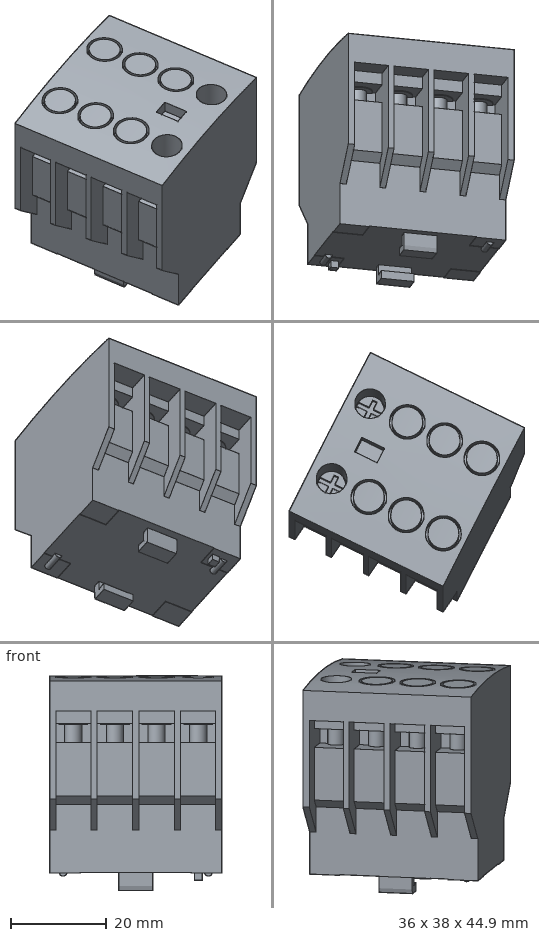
import cadquery as cq

WIDTH = 36.0
DEPTH = 38.0
HEIGHT = 44.9
TOP_EDGE_Z = 43.8
SHOULDER_Z = 19.13
BASE_Z = 3.65
BASE_HALF_DEPTH = 12.5
PAD_HEIGHT = 0.15
PAD_INNER_X = 11.6
PAD_INNER_Y = 7.2
BASE_TOP_Z = SHOULDER_Z - (DEPTH / 2 - BASE_HALF_DEPTH)

PITCH = 8.7
TERMINALS = 4
COLUMNS = [(i - (TERMINALS - 1) / 2) * PITCH for i in range(TERMINALS)]
CAP_COLUMNS = COLUMNS[:-1]
SCREW_COLUMN = COLUMNS[-1]
ROW_Y = 9.0
SIDES = (-1, 1)

RIB_THICKNESS = 1.25
SIDE_WALL = 1.4
POCKET_TOP_Z = 37.5
POCKET_FLOOR_Y = 14.25
FLOOR_BOTTOM_Z = 19.75
WINDOW_TOP_Z = 34.95
WINDOW_BOTTOM_Z = 30.95
WINDOW_BACK_Y = ROW_Y
SLOPE_BOTTOM_Z = FLOOR_BOTTOM_Z - (POCKET_FLOOR_Y - BASE_HALF_DEPTH)

SHAFT_RADIUS = 1.8
HEAD_RADIUS = 3.0
HEAD_BOTTOM_Z = 34.75
HEAD_TOP_Z = 38.25
SCREW_HOLE_RADIUS = 3.2
SLOT_WIDTH = 1.0
SLOT_DEPTH = 0.9
HEAD_GAP_DEPTH = 1.35
SHORT_SLOT_LENGTH = 4.4

GROOVE_OUTER_RADIUS = 3.73
GROOVE_INNER_RADIUS = 3.25
GROOVE_DEPTH = 1.35

RECESS_X = PITCH
RECESS_LENGTH = 5.3
RECESS_WIDTH = 3.45
RECESS_DEPTH = 2.55

HOOK_WIDTH = 7.15
HOOK_OUTER_Y = 10.78
HOOK_INNER_Y = 9.0
HOOK_TIP_Y = 6.95
HOOK_TOE_Y = 10.5
HOOK_TAPER_Z = 0.9
HOOK_ROOT_Z = 1.53
HOOK_TIP_Z = 1.75

FOOT_X = 15.18
FOOT_RADIUS = 0.8
FOOT_SINK = 0.2
FOOT_INNER_Y = 6.05
FOOT_OUTER_Y = 10.5
POST_LEFT_X = 12.25
POST_RIGHT_X = 13.9
POST_BOTTOM_Z = 2.15


def box(x0, x1, y0, y1, z0, z1):
    """Box between two opposite corners."""
    size = (x1 - x0, y1 - y0, z1 - z0)
    return cq.Workplane("XY").box(*size, centered=False).translate((x0, y0, z0))


def cylinder(x, y, radius, z0, z1):
    """Upright cylinder between two heights."""
    return cq.Workplane("XY", origin=(x, y, z0)).circle(radius).extrude(z1 - z0)


def extrude_along_x(profile, x, width):
    """Extrude a closed YZ profile to a width centred on x."""
    return profile.extrude(width / 2, both=True).translate((x, 0, 0))


def housing():
    half = DEPTH / 2
    profile = (
        cq.Workplane("YZ")
        .moveTo(-BASE_HALF_DEPTH, BASE_Z)
        .lineTo(BASE_HALF_DEPTH, BASE_Z)
        .lineTo(BASE_HALF_DEPTH, BASE_TOP_Z)
        .lineTo(half, SHOULDER_Z)
        .lineTo(half, TOP_EDGE_Z)
        .threePointArc((0, HEIGHT), (-half, TOP_EDGE_Z))
        .lineTo(-half, SHOULDER_Z)
        .lineTo(-BASE_HALF_DEPTH, BASE_TOP_Z)
        .close()
    )
    return extrude_along_x(profile, 0, WIDTH)


def base_relief():
    """Shallow cross-shaped relief that leaves a pad at each corner of the base."""
    top = BASE_Z + PAD_HEIGHT
    along_x = box(-WIDTH / 2, WIDTH / 2, -PAD_INNER_Y, PAD_INNER_Y, BASE_Z, top)
    along_y = box(-PAD_INNER_X, PAD_INNER_X, -BASE_HALF_DEPTH, BASE_HALF_DEPTH, BASE_Z, top)
    return along_x.union(along_y)


def pocket(x, side):
    """Open-bottomed pocket with a deep window that exposes the screw shaft."""
    outside = side * DEPTH / 2
    floor = side * POCKET_FLOOR_Y
    base = side * BASE_HALF_DEPTH
    window_back = side * WINDOW_BACK_Y
    profile = (
        cq.Workplane("YZ")
        .moveTo(outside, POCKET_TOP_Z)
        .lineTo(floor, POCKET_TOP_Z)
        .lineTo(floor, WINDOW_TOP_Z)
        .lineTo(window_back, WINDOW_TOP_Z)
        .lineTo(window_back, WINDOW_BOTTOM_Z)
        .lineTo(floor, WINDOW_BOTTOM_Z)
        .lineTo(floor, FLOOR_BOTTOM_Z)
        .lineTo(base, SLOPE_BOTTOM_Z)
        .lineTo(base, BASE_TOP_Z)
        .lineTo(outside, BASE_TOP_Z)
        .close()
    )
    half_width = (PITCH - RIB_THICKNESS) / 2
    wall_x = WIDTH / 2 - SIDE_WALL
    left = max(x - half_width, -wall_x)
    right = min(x + half_width, wall_x)
    return extrude_along_x(profile, (left + right) / 2, right - left)


def screw(x, y):
    """Half-exposed screw shaft with its head."""
    shaft = cylinder(x, y, SHAFT_RADIUS, WINDOW_BOTTOM_Z, HEAD_BOTTOM_Z)
    head = cylinder(x, y, HEAD_RADIUS, HEAD_BOTTOM_Z, HEAD_TOP_Z)
    return shaft.union(head)


def screw_hole(x, y):
    """Access hole around a screw head, with the cross slot in that head."""
    hole_bottom = HEAD_TOP_Z - HEAD_GAP_DEPTH
    hole = cylinder(x, y, SCREW_HOLE_RADIUS, hole_bottom, HEIGHT)
    hole = hole.cut(cylinder(x, y, HEAD_RADIUS, hole_bottom, HEAD_TOP_Z))
    slot_z = HEAD_TOP_Z - SLOT_DEPTH
    half_slot = SLOT_WIDTH / 2
    half_short = SHORT_SLOT_LENGTH / 2
    long_slot = box(x - HEAD_RADIUS, x + HEAD_RADIUS, y - half_slot, y + half_slot, slot_z, HEAD_TOP_Z)
    short_slot = box(x - half_slot, x + half_slot, y - half_short, y + half_short, slot_z, HEAD_TOP_Z)
    return hole.union(long_slot).union(short_slot)


def ring_groove(x, y):
    bottom = TOP_EDGE_Z - GROOVE_DEPTH
    outer = cylinder(x, y, GROOVE_OUTER_RADIUS, bottom, HEIGHT)
    return outer.cut(cylinder(x, y, GROOVE_INNER_RADIUS, bottom, HEIGHT))


def top_recess():
    half_length = RECESS_LENGTH / 2
    half_width = RECESS_WIDTH / 2
    return box(
        RECESS_X - half_length, RECESS_X + half_length,
        -half_width, half_width,
        HEIGHT - RECESS_DEPTH, HEIGHT,
    )


def hook(side):
    """Inward-facing snap hook with a tapered outer toe."""
    root_z = BASE_Z + PAD_HEIGHT
    points = [
        (HOOK_OUTER_Y, root_z),
        (HOOK_OUTER_Y, HOOK_TAPER_Z),
        (HOOK_TOE_Y, 0),
        (HOOK_TIP_Y, 0),
        (HOOK_TIP_Y, HOOK_TIP_Z),
        (HOOK_INNER_Y, HOOK_ROOT_Z),
        (HOOK_INNER_Y, root_z),
    ]
    profile = cq.Workplane("YZ").polyline([(side * y, z) for y, z in points]).close()
    return extrude_along_x(profile, 0, HOOK_WIDTH)


def locating_post():
    return box(
        POST_LEFT_X, POST_RIGHT_X,
        -HOOK_OUTER_Y, -HOOK_INNER_Y,
        POST_BOTTOM_Z, BASE_Z,
    )


def foot(x, side):
    """Bar lying along Y, with its lower half-round below the base."""
    length = FOOT_OUTER_Y - FOOT_INNER_Y
    middle_y = side * (FOOT_OUTER_Y + FOOT_INNER_Y) / 2
    plane = cq.Workplane("XZ", origin=(x, middle_y, BASE_Z + FOOT_SINK))
    return plane.circle(FOOT_RADIUS).extrude(length / 2, both=True)


result = housing().cut(base_relief())

for side in SIDES:
    for x in COLUMNS:
        result = result.cut(pocket(x, side))
        result = result.union(screw(x, side * ROW_Y))
    for x in CAP_COLUMNS:
        result = result.cut(ring_groove(x, side * ROW_Y))
    result = result.cut(screw_hole(SCREW_COLUMN, side * ROW_Y))
    result = result.union(hook(side))
    result = result.union(foot(-side * FOOT_X, side))

result = result.cut(top_recess())
result = result.union(locating_post())